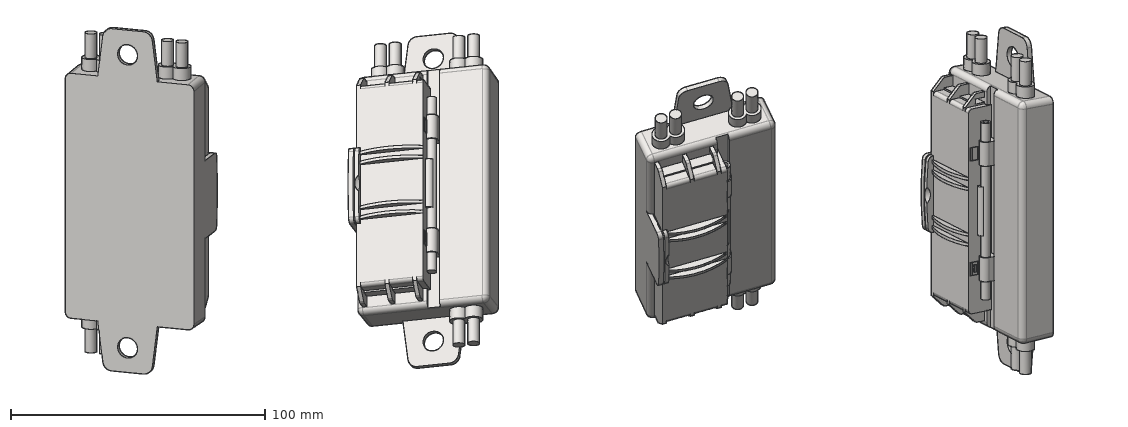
import cadquery as cq
import math

CASE_WIDTH = 53.9
CASE_DEPTH = 15.0
CASE_HALF_HEIGHT = 50.5
CASE_BACK_HALF_HEIGHT = 50.1
CASE_CORNER_RADIUS = 2.5
CASE_RIM_RADIUS = 2.4

PLATE_HALF_LENGTH = 70.0
PLATE_CENTER_X = -0.8
PLATE_THICKNESS = 2.1
EAR_ROOT_HALF_WIDTH = 12.5
EAR_TIP_HALF_WIDTH = 10.0
EAR_CORNER_RADIUS = 3.8
EAR_HOLE_DIAMETER = 8.3
EAR_HOLE_Z = 59.9

CABLE_Y = 8.0
CABLE_INNER_X = 13.0
CABLE_OUTER_X = 19.0
CABLE_RADIUS = 2.4
CABLE_END_Z = 65.2
COLLAR_RADIUS = 3.6
COLLAR_END_Z = 55.2
CABLE_EMBED_DEPTH = 2.8
CABLE_ROOT_Z = CASE_BACK_HALF_HEIGHT - CABLE_EMBED_DEPTH

LID_LEFT_X = -2.8
LID_RIGHT_X = 24.4
LID_TOP_Y = 24.1
LID_HALF_HEIGHT = 42.7
LID_END_RADIUS = 1.5
LEDGE_TOP_Y = 19.2
LEDGE_HALF_HEIGHT = 43.4

RIB_WIDTH = 1.7
RIB_CENTERS_X = (0.5, 11.9, LID_RIGHT_X - RIB_WIDTH / 2)
RIB_HALF_HEIGHT = 47.7
RIB_SHOULDER_Y = LID_TOP_Y - (RIB_HALF_HEIGHT - LID_HALF_HEIGHT)
RIB_SHOULDER_RADIUS = 1.7
WINDOW_LENGTH = 2.1

ARCH_CREST_Y = 26.9
ARCH_WIDTH = 1.3
ARCH_CENTERS_Z = (9.5, 13.7)

LATCH_CREST_Y = 27.2
LATCH_SHOULDER_Y = 26.3
LATCH_HALF_HEIGHT = 16.0
LATCH_CORNER_RADIUS = 2.2
LATCH_INNER_X = 22.7
LATCH_OUTER_X = CASE_WIDTH / 2
LATCH_GAP_X = 24.9
LATCH_BRIDGE_Y = 22.4
LATCH_BRIDGE_INSET = 1.1
LATCH_ROOT_Y = CASE_DEPTH - CASE_RIM_RADIUS
SCOOP_HALF_WIDTH = 3.4
SCOOP_DEPTH = 1.7
SCOOP_SETBACK = 3.1
SCOOP_FACE_RADIUS = (SCOOP_HALF_WIDTH**2 + SCOOP_DEPTH**2) / (2 * SCOOP_DEPTH)
SCOOP_SPHERE_RADIUS = math.hypot(SCOOP_FACE_RADIUS, SCOOP_SETBACK)

HINGE_X = -4.5
HINGE_Y = 17.2
BAR_RADIUS = 2.0
BAR_HALF_LENGTH = 36.8
WEB_X = -3.6
WEB_Y = 18.2
WEB_HALF_LENGTH = 10.2
CLIP_RADIUS = 2.5
CLIP_CENTER_Z = 24.1
CLIP_LENGTH = 10.1
PIN_HOLE_RADIUS = 1.1
PIN_HOLE_DEPTH = 2.1
GROOVE_FLOOR_Y = 13.3

PAD_BOTTOM_Y = 19.9
PAD_STEP_Y = 22.5
PAD_TOP_Y = 23.4
PAD_LENGTH = 5.5
PAD_CENTER_Z = 24.0
PAD_RISE = 0.4
POCKET_WIDTH = 1.0
POCKET_LENGTH = 3.1


def block(x_span, y_span, z_span):
    """Box between two limits on each axis."""
    spans = (x_span, y_span, z_span)
    sizes = [high - low for low, high in spans]
    corner = cq.Vector(*[low for low, high in spans])
    return cq.Workplane("XY").box(*sizes, centered=False).translate(corner)


def rod(x, y, radius, z_low, z_high):
    """Cylinder along Z."""
    return cq.Workplane("XY", origin=(x, y, z_low)).circle(radius).extrude(z_high - z_low)


def make_case():
    side_profile = [
        (0, -CASE_BACK_HALF_HEIGHT),
        (CASE_DEPTH, -CASE_HALF_HEIGHT),
        (CASE_DEPTH, CASE_HALF_HEIGHT),
        (0, CASE_BACK_HALF_HEIGHT),
    ]
    case = cq.Workplane("YZ").polyline(side_profile).close().extrude(CASE_WIDTH / 2, both=True)
    case = case.edges("not(#Y or |X)").fillet(CASE_CORNER_RADIUS)
    case = case.faces(">Y").edges().fillet(CASE_RIM_RADIUS)
    groove = block(
        (HINGE_X - CLIP_RADIUS, HINGE_X + CLIP_RADIUS),
        (GROOVE_FLOOR_Y, CASE_DEPTH),
        (-CASE_HALF_HEIGHT, CASE_HALF_HEIGHT),
    )
    return case.cut(groove)


def make_mounting_plate():
    outline = [
        (-EAR_TIP_HALF_WIDTH, PLATE_HALF_LENGTH),
        (EAR_TIP_HALF_WIDTH, PLATE_HALF_LENGTH),
        (EAR_ROOT_HALF_WIDTH, CASE_BACK_HALF_HEIGHT),
        (EAR_ROOT_HALF_WIDTH, -CASE_BACK_HALF_HEIGHT),
        (EAR_TIP_HALF_WIDTH, -PLATE_HALF_LENGTH),
        (-EAR_TIP_HALF_WIDTH, -PLATE_HALF_LENGTH),
        (-EAR_ROOT_HALF_WIDTH, -CASE_BACK_HALF_HEIGHT),
        (-EAR_ROOT_HALF_WIDTH, CASE_BACK_HALF_HEIGHT),
    ]
    front = cq.Workplane("XZ", origin=(PLATE_CENTER_X, 0, 0))
    plate = front.polyline(outline).close().extrude(-PLATE_THICKNESS)
    for end in (">Z", "<Z"):
        plate = plate.faces(end).edges("|Y").fillet(EAR_CORNER_RADIUS)
    holes = (
        front.pushPoints([(0, -EAR_HOLE_Z), (0, EAR_HOLE_Z)])
        .circle(EAR_HOLE_DIAMETER / 2)
        .extrude(-PLATE_THICKNESS)
    )
    return plate.cut(holes)


def make_cable(x):
    """Cable and collar leaving the +Z end of the case."""
    collar = rod(x, CABLE_Y, COLLAR_RADIUS, CABLE_ROOT_Z, COLLAR_END_Z)
    return collar.union(rod(x, CABLE_Y, CABLE_RADIUS, CABLE_ROOT_Z, CABLE_END_Z))


def make_cables():
    """Four cables at the +Z end and only the -X pair at the -Z end."""
    left_pair = make_cable(-CABLE_OUTER_X).union(make_cable(-CABLE_INNER_X))
    right_pair = make_cable(CABLE_INNER_X).union(make_cable(CABLE_OUTER_X))
    return left_pair.union(right_pair).union(left_pair.mirror("XY"))


def make_lid():
    shell = block(
        (LID_LEFT_X, LID_RIGHT_X),
        (GROOVE_FLOOR_Y, LID_TOP_Y),
        (-LID_HALF_HEIGHT, LID_HALF_HEIGHT),
    )
    shell = shell.faces(">Y").edges("|X").fillet(LID_END_RADIUS)
    ledge = block(
        (RIB_CENTERS_X[0], RIB_CENTERS_X[-1]),
        (GROOVE_FLOOR_Y, LEDGE_TOP_Y),
        (-LEDGE_HALF_HEIGHT, LEDGE_HALF_HEIGHT),
    )
    return shell.union(ledge)


def make_lid_rib(center_x):
    """Rib along Z with sloping ends and rounded shoulders."""
    profile = [
        (GROOVE_FLOOR_Y, -RIB_HALF_HEIGHT),
        (RIB_SHOULDER_Y, -RIB_HALF_HEIGHT),
        (LID_TOP_Y, -LID_HALF_HEIGHT),
        (LID_TOP_Y, LID_HALF_HEIGHT),
        (RIB_SHOULDER_Y, RIB_HALF_HEIGHT),
        (GROOVE_FLOOR_Y, RIB_HALF_HEIGHT),
    ]
    plane = cq.Workplane("YZ", origin=(center_x, 0, 0))
    rib = plane.polyline(profile).close().extrude(RIB_WIDTH / 2, both=True)
    for end in (">Z", "<Z"):
        rib = rib.faces(end).edges("|X and >Y").fillet(RIB_SHOULDER_RADIUS)
    return rib


def make_lid_ribs():
    """The three ribs; the first has a window just above the lid's +Z end."""
    first, *others = [make_lid_rib(x) for x in RIB_CENTERS_X]
    window = block(
        (RIB_CENTERS_X[0] - RIB_WIDTH / 2, RIB_CENTERS_X[0] + RIB_WIDTH / 2),
        (CASE_DEPTH, LEDGE_TOP_Y),
        (LEDGE_HALF_HEIGHT, LEDGE_HALF_HEIGHT + WINDOW_LENGTH),
    )
    ribs = first.cut(window)
    for rib in others:
        ribs = ribs.union(rib)
    return ribs


def make_arches():
    middle_x = (LID_LEFT_X + LID_RIGHT_X) / 2
    arch = (
        cq.Workplane("XY")
        .moveTo(LID_LEFT_X, LID_TOP_Y)
        .threePointArc((middle_x, ARCH_CREST_Y), (LID_RIGHT_X, LID_TOP_Y))
        .lineTo(LID_RIGHT_X, CASE_DEPTH)
        .lineTo(LID_LEFT_X, CASE_DEPTH)
        .close()
        .extrude(ARCH_WIDTH / 2, both=True)
    )
    arches = cq.Workplane("XY")
    for center_z in ARCH_CENTERS_Z:
        for side in (-1, 1):
            arches = arches.union(arch.translate((0, 0, side * center_z)))
    return arches


def make_latch():
    """Twin walls with a crowned top, split by a gap and joined below it."""
    latch = (
        cq.Workplane("YZ", origin=(LATCH_INNER_X, 0, 0))
        .moveTo(LATCH_ROOT_Y, -LATCH_HALF_HEIGHT)
        .lineTo(LATCH_SHOULDER_Y, -LATCH_HALF_HEIGHT)
        .threePointArc((LATCH_CREST_Y, 0), (LATCH_SHOULDER_Y, LATCH_HALF_HEIGHT))
        .lineTo(LATCH_ROOT_Y, LATCH_HALF_HEIGHT)
        .close()
        .extrude(LATCH_OUTER_X - LATCH_INNER_X)
    )
    for end in (">Z", "<Z"):
        latch = latch.faces(end).edges("|X and >Y").fillet(LATCH_CORNER_RADIUS)
    gap = block(
        (LID_RIGHT_X, LATCH_GAP_X),
        (CASE_DEPTH, LATCH_CREST_Y),
        (-LATCH_HALF_HEIGHT, LATCH_HALF_HEIGHT),
    )
    bridge_half_height = LATCH_HALF_HEIGHT - LATCH_BRIDGE_INSET
    bridge = block(
        (LID_RIGHT_X, LATCH_GAP_X),
        (CASE_DEPTH, LATCH_BRIDGE_Y),
        (-bridge_half_height, bridge_half_height),
    )
    scoop = cq.Workplane("XY").sphere(SCOOP_SPHERE_RADIUS).translate(
        (LATCH_INNER_X - SCOOP_SETBACK, LATCH_CREST_Y - SCOOP_DEPTH + SCOOP_FACE_RADIUS, 0)
    )
    return latch.cut(gap).union(bridge).cut(scoop)


def make_clip(center_z):
    """Rounded clip around the hinge bar, standing in the groove of the case."""
    z_low = center_z - CLIP_LENGTH / 2
    z_high = center_z + CLIP_LENGTH / 2
    legs = block(
        (HINGE_X - CLIP_RADIUS, HINGE_X + CLIP_RADIUS),
        (GROOVE_FLOOR_Y, HINGE_Y),
        (z_low, z_high),
    )
    return rod(HINGE_X, HINGE_Y, CLIP_RADIUS, z_low, z_high).union(legs)


def make_hinge():
    """Bar with a drilled +Z end, two clips and a raised web joining it to the lid."""
    hinge = rod(HINGE_X, HINGE_Y, BAR_RADIUS, -BAR_HALF_LENGTH, BAR_HALF_LENGTH)
    hinge = hinge.union(rod(WEB_X, WEB_Y, BAR_RADIUS, -WEB_HALF_LENGTH, WEB_HALF_LENGTH))
    for side in (-1, 1):
        hinge = hinge.union(make_clip(side * CLIP_CENTER_Z))
    pin_floor_z = BAR_HALF_LENGTH - PIN_HOLE_DEPTH
    pin_hole = rod(HINGE_X, HINGE_Y, PIN_HOLE_RADIUS, pin_floor_z, BAR_HALF_LENGTH)
    return hinge.cut(pin_hole)


def make_pad(center_z):
    """Stepped pad standing proud of the lid's -X wall."""
    z_span = (center_z - PAD_LENGTH / 2, center_z + PAD_LENGTH / 2)
    thick_part = block((LID_LEFT_X - PAD_RISE, LID_LEFT_X), (PAD_BOTTOM_Y, PAD_STEP_Y), z_span)
    thin_part = block((LID_LEFT_X - PAD_RISE / 2, LID_LEFT_X), (PAD_STEP_Y, PAD_TOP_Y), z_span)
    return thick_part.union(thin_part)


def make_pads():
    """Two pads; the lower one has a small rectangular pocket."""
    pocket_center_y = (PAD_BOTTOM_Y + PAD_STEP_Y) / 2
    pocket = block(
        (LID_LEFT_X - PAD_RISE, LID_LEFT_X),
        (pocket_center_y - POCKET_WIDTH / 2, pocket_center_y + POCKET_WIDTH / 2),
        (-PAD_CENTER_Z - POCKET_LENGTH / 2, -PAD_CENTER_Z + POCKET_LENGTH / 2),
    )
    return make_pad(PAD_CENTER_Z).union(make_pad(-PAD_CENTER_Z).cut(pocket))


result = make_case()
for feature in (
    make_mounting_plate(),
    make_cables(),
    make_lid(),
    make_lid_ribs(),
    make_arches(),
    make_latch(),
    make_hinge(),
    make_pads(),
):
    result = result.union(feature)